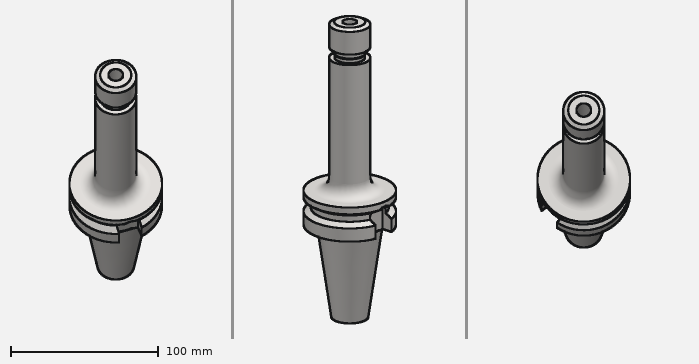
import cadquery as cq
import math

total_length = 215.5
bore_radius = 5.0

gauge_height = 65.5
gauge_radius = 22.2
taper_slope = 7 / 24 / 2
tip_radius = gauge_radius - gauge_height * taper_slope

flange_radius = 31.5
flange_bottom = 67.5
flange_top = 92.5
groove_radius = 26.5
lower_rim_top = 77.1
upper_rim_bottom = 87.5
flank_angle = math.radians(30)
flank_height = (flange_radius - groove_radius) * math.tan(flank_angle)

slot_width = 16.2
slot_floor = 22.5
slot_arc_centre = 80.8

body_radius = 14.0
body_top = 189.3
blend_radius = 9.7

neck_radius = 10.3
neck_top = 192.1
collar_radius = 11.0
collar_bottom = 193.0
nut_bottom = 197.0
nut_chamfer_height = 1.7
nut_face_radius = 10.5


def make_holder():
    """Revolve the complete half section, leaving the bore open."""
    blend_foot = body_radius + blend_radius
    blend_top = flange_top + blend_radius
    blend_mid = blend_radius * math.sqrt(0.5)
    section = (
        cq.Workplane("XZ")
        .moveTo(bore_radius, 0)
        .lineTo(tip_radius, 0)
        .lineTo(gauge_radius, gauge_height)
        .lineTo(gauge_radius, flange_bottom)
        .lineTo(flange_radius, flange_bottom)
        .lineTo(flange_radius, lower_rim_top)
        .lineTo(groove_radius, lower_rim_top + flank_height)
        .lineTo(groove_radius, upper_rim_bottom - flank_height)
        .lineTo(flange_radius, upper_rim_bottom)
        .lineTo(flange_radius, flange_top)
        .lineTo(blend_foot, flange_top)
        .threePointArc((blend_foot - blend_mid, blend_top - blend_mid), (body_radius, blend_top))
        .lineTo(body_radius, body_top)
        .lineTo(neck_radius, body_top)
        .lineTo(neck_radius, neck_top)
        .lineTo(collar_radius, collar_bottom)
        .lineTo(collar_radius, nut_bottom)
        .lineTo(body_radius, nut_bottom)
        .lineTo(body_radius, total_length - nut_chamfer_height)
        .lineTo(nut_face_radius, total_length)
        .lineTo(bore_radius, total_length)
        .close()
    )
    return section.revolve(360, (0, 0, 0), (0, 1, 0))


def make_drive_slot(side):
    """Round-topped cutter from the slot floor outward; side is -1 or +1 along X."""
    half_width = slot_width / 2
    return (
        cq.Workplane("YZ", origin=(side * slot_floor, 0, 0))
        .moveTo(-half_width, flange_bottom)
        .lineTo(half_width, flange_bottom)
        .lineTo(half_width, slot_arc_centre)
        .threePointArc((0, slot_arc_centre + half_width), (-half_width, slot_arc_centre))
        .close()
        .extrude(side * flange_radius)
    )


result = make_holder()
for side in (-1, 1):
    result = result.cut(make_drive_slot(side))